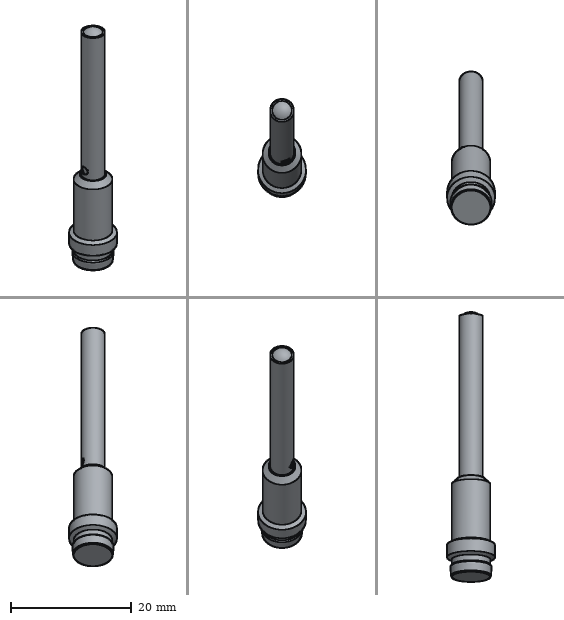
import cadquery as cq

total_height = 45.75

rod_dia = 4.0
dome_dia = 3.25
body_dia = 6.5
flange_dia = 8.0
rim_dia = 6.9
rim_foot_dia = 6.7
end_face_dia = 6.4
window_dia = 1.5

end_chamfer_top = 0.25
taper_top = 1.35
rim_top = 1.75
neck_bottom = 2.0
flange_bottom = 2.97
flange_top = 5.95
flange_chamfer = 0.4

shoulder_top = 17.0
shoulder_chamfer = 1.0
dome_height = 0.75
window_height = 18.5
window_depth = 0.25

rod_top = total_height - dome_height
shoulder_bottom = shoulder_top - shoulder_chamfer
rod_radius = rod_dia / 2
body_radius = body_dia / 2
flange_radius = flange_dia / 2
rim_radius = rim_dia / 2

dome_half = dome_dia / 2
dome_sphere_radius = (dome_half**2 + dome_height**2) / (2 * dome_height)
arc_mid_radius = dome_half / 2
dome_center_height = total_height - dome_sphere_radius
arc_mid_height = dome_center_height + (dome_sphere_radius**2 - arc_mid_radius**2) ** 0.5


def turned_pin():
    """Revolve the half profile (radius, height) about the Z axis."""
    profile = (
        cq.Workplane("XZ")
        .moveTo(0, 0)
        .lineTo(end_face_dia / 2, 0)
        .lineTo(rim_foot_dia / 2, end_chamfer_top)
        .lineTo(rim_radius, taper_top)
        .lineTo(rim_radius, rim_top)
        .lineTo(body_radius, neck_bottom)
        .lineTo(body_radius, flange_bottom)
        .lineTo(flange_radius, flange_bottom + flange_chamfer)
        .lineTo(flange_radius, flange_top - flange_chamfer)
        .lineTo(body_radius, flange_top)
        .lineTo(body_radius, shoulder_bottom)
        .lineTo(body_radius - shoulder_chamfer, shoulder_top)
        .lineTo(rod_radius, shoulder_top)
        .lineTo(rod_radius, rod_top)
        .lineTo(dome_half, rod_top)
        .threePointArc((arc_mid_radius, arc_mid_height), (0, total_height))
        .close()
    )
    return profile.revolve(360, (0, 0, 0), (0, 1, 0))


def side_window():
    """Round window in the rod's -Y side whose floor curves around the rod axis."""
    drill = (
        cq.Workplane("XZ", origin=(0, 0, window_height))
        .circle(window_dia / 2)
        .extrude(rod_dia)
    )
    core = (
        cq.Workplane("XY", origin=(0, 0, shoulder_top))
        .circle(rod_radius - window_depth)
        .extrude(rod_top - shoulder_top)
    )
    return drill.cut(core)


result = turned_pin().cut(side_window())